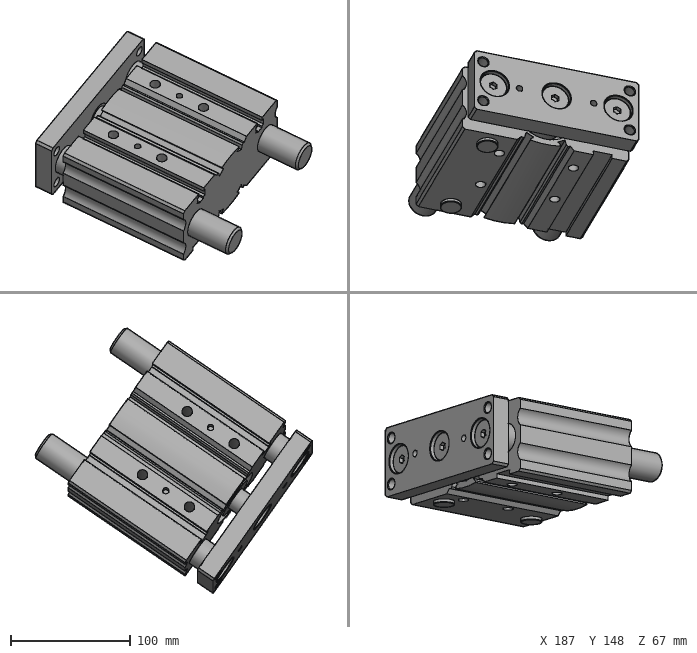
import cadquery as cq
import math

plate_thickness = 16.0
housing_start = 28.0
housing_length = 119.5
housing_end = housing_start + housing_length
guide_end = 187.0

housing_width = 148.0
housing_height = 64.0
housing_chamfer = 2.0
half_width = housing_width / 2
half_height = housing_height / 2

scallop_inner_z = 7.9
scallop_outer_z = 22.3
scallop_depth = 3.5

slot_y = 46.0
slot_mouth_half = 4.0
slot_foot_half = 6.0
slot_floor_half = 3.2
slot_lip_depth = 4.3
slot_ledge_depth = 10.7
slot_floor_depth = 12.7

crown_z = 31.2
crown_radius = 74.8
crown_half_width = 13.7
land_edge_y = 25.2
sensor_groove_section = [
    (21.7, 28.0),
    (19.8, 28.8),
    (18.3, 27.3),
    (17.2, 22.8),
    (11.0, 26.2),
    (13.0, 28.5),
]

under_groove_inner_y = 42.3
under_groove_outer_y = 59.0
under_groove_depth = 3.7

mount_y = 33.0
mount_diameter = 8.6
mount_offsets = (24.0, 72.0)
dowel_offset = 48.0
dowel_diameter = 5.2
dowel_depth = 9.4

port_y = 47.0
port_offsets = (14.2, 107.9)
port_diameter = 18.0
port_height = 3.0
port_chamfer = 0.5

collar_diameter = 51.6
collar_neck_diameter = 35.9
collar_neck_length = 13.5
collar_flange_thickness = 7.5
bore_depth = collar_neck_length + collar_flange_thickness

guide_y = 55.0
guide_diameter = 25.0
guide_chamfer = 1.9
piston_diameter = 20.0
piston_end = housing_start + bore_depth

rod_sink = 3.4
rod_front_chamfer = 1.0
socket_flats = 6.4
socket_depth = 3.7

plate_width = 146.0
plate_height = 60.0
plate_chamfer = 2.0
rod_hole_chamfer = 0.5
screw_hole_y = 65.0
screw_hole_z = 20.0
screw_hole_diameter = 8.6
screw_hole_chamfer = 0.7
plate_dowel_y = 33.0
plate_dowel_diameter = 5.6


def cylinder_x(start, end, diameter, y=0, z=0):
    """A cylinder parallel to X."""
    return cq.Workplane("YZ", origin=(start, y, z)).circle(diameter / 2).extrude(end - start)


def cylinder_z(x, y, start, end, diameter):
    """A cylinder parallel to Z."""
    return cq.Workplane("XY", origin=(x, y, start)).circle(diameter / 2).extrude(end - start)


def housing_channel(points):
    """A straight-sided cutter that runs the whole length of the housing."""
    return cq.Workplane("YZ", origin=(housing_start, 0, 0)).polyline(points).close().extrude(housing_length)


def scallop(side, level):
    half_chord = (scallop_outer_z - scallop_inner_z) / 2
    radius = (half_chord**2 + scallop_depth**2) / (2 * scallop_depth)
    y = side * (half_width - scallop_depth + radius)
    z = level * (scallop_inner_z + half_chord)
    return cylinder_x(housing_start, housing_end, 2 * radius, y, z)


def t_slot(side):
    mouth = half_height
    lip = half_height - slot_lip_depth
    ledge = half_height - slot_ledge_depth
    floor = half_height - slot_floor_depth
    right_half = [
        (slot_mouth_half, mouth),
        (slot_mouth_half, lip),
        (slot_foot_half, lip),
        (slot_foot_half, ledge),
        (slot_floor_half, ledge),
        (slot_floor_half, floor),
    ]
    left_half = [(-y, z) for y, z in reversed(right_half)]
    return housing_channel([(side * slot_y + y, z) for y, z in right_half + left_half])


def crown_height(y):
    return crown_z - crown_radius + math.sqrt(crown_radius**2 - y**2)


def crown_relief(side, level):
    """The material removed beside and above one half of a crown."""

    def place(y, z):
        return (side * y, level * z)

    relief = cq.Workplane("YZ", origin=(housing_start, 0, 0)).moveTo(*place(0, half_height))
    relief = relief.lineTo(*place(land_edge_y, half_height))
    for y, z in sensor_groove_section:
        relief = relief.lineTo(*place(y, z))
    relief = relief.lineTo(*place(crown_half_width, crown_height(crown_half_width)))
    arc_middle_y = crown_half_width / 2
    relief = relief.threePointArc(place(arc_middle_y, crown_height(arc_middle_y)), place(0, crown_z))
    return relief.close().extrude(housing_length)


def under_groove():
    top = under_groove_depth - half_height
    return housing_channel(
        [
            (-under_groove_outer_y, -half_height),
            (-under_groove_inner_y, -half_height),
            (-under_groove_inner_y, top),
            (-under_groove_outer_y, top),
        ]
    )


def port_boss(offset):
    boss = cylinder_z(housing_start + offset, port_y, -half_height, -half_height - port_height, port_diameter)
    return boss.faces("<Z").chamfer(port_chamfer)


def make_housing():
    housing = (
        cq.Workplane("YZ", origin=(housing_start, 0, 0))
        .rect(housing_width, housing_height)
        .extrude(housing_length)
        .edges("|X")
        .chamfer(housing_chamfer)
    )
    for side in (-1, 1):
        for level in (-1, 1):
            housing = housing.cut(scallop(side, level)).cut(crown_relief(side, level))
        housing = housing.cut(t_slot(side))
        y = side * mount_y
        for offset in mount_offsets:
            housing = housing.cut(cylinder_z(housing_start + offset, y, -half_height, half_height, mount_diameter))
        dowel_x = housing_start + dowel_offset
        housing = housing.cut(cylinder_z(dowel_x, y, half_height - dowel_depth, half_height, dowel_diameter))
        housing = housing.cut(cylinder_x(housing_start, housing_end, guide_diameter, side * guide_y))
    housing = housing.cut(under_groove())
    housing = housing.cut(cylinder_x(housing_start, housing_start + bore_depth, collar_diameter))
    for offset in port_offsets:
        housing = housing.union(port_boss(offset))
    return housing


def make_collar():
    flange_start = housing_start + collar_neck_length
    collar = cylinder_x(housing_start, flange_start, collar_neck_diameter)
    collar = collar.union(cylinder_x(flange_start, flange_start + collar_flange_thickness, collar_diameter))
    return collar.cut(cylinder_x(housing_start, piston_end, piston_diameter))


def chamfered_holes(plate, diameter, chamfer, places):
    """Through holes in the plate with chamfered front rims; local X on the front face points to -Y."""
    return (
        plate.faces("<X")
        .workplane(origin=(0, 0, 0))
        .pushPoints([(-y, z) for y, z in places])
        .cskHole(diameter, diameter + 2 * chamfer, 90)
    )


def make_plate():
    plate = (
        cq.Workplane("YZ")
        .rect(plate_width, plate_height)
        .extrude(plate_thickness)
        .edges("|X")
        .chamfer(plate_chamfer)
    )
    rod_places = [(y, 0) for y in (-guide_y, 0, guide_y)]
    screw_places = [(y, z) for y in (-screw_hole_y, screw_hole_y) for z in (-screw_hole_z, screw_hole_z)]
    plate = chamfered_holes(plate, guide_diameter, rod_hole_chamfer, rod_places)
    plate = chamfered_holes(plate, screw_hole_diameter, screw_hole_chamfer, screw_places)
    for y in (-plate_dowel_y, plate_dowel_y):
        plate = plate.cut(cylinder_x(0, plate_thickness, plate_dowel_diameter, y))
    return plate


def rod_front(y):
    """The chamfered rod end that fills a plate hole, with its hexagonal socket."""
    front = cylinder_x(rod_sink, plate_thickness, guide_diameter, y).faces("<X").chamfer(rod_front_chamfer)
    socket = (
        cq.Workplane("YZ", origin=(rod_sink, y, 0))
        .transformed(rotate=(0, 0, 30))
        .polygon(6, socket_flats / math.cos(math.pi / 6))
        .extrude(socket_depth)
    )
    return front.cut(socket)


def make_guide_rod(y):
    shaft = cylinder_x(plate_thickness, guide_end, guide_diameter, y).faces(">X").chamfer(guide_chamfer)
    return rod_front(y).union(shaft)


def make_piston_rod():
    return rod_front(0).union(cylinder_x(plate_thickness, piston_end, piston_diameter))


housing = make_housing()
collar = make_collar()
plate = make_plate()
piston_rod = make_piston_rod()
guide_rods = [make_guide_rod(y) for y in (-guide_y, guide_y)]

result = cq.Compound.makeCompound(
    [housing.val(), collar.val(), plate.val(), piston_rod.val()] + [rod.val() for rod in guide_rods]
)